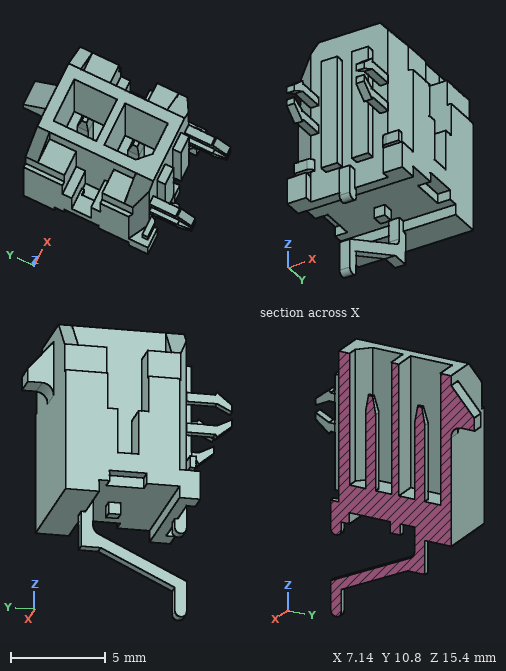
import cadquery as cq
import math


HOUSING_TOP = 9.89
HOUSING_DEPTH = 6.87
HALF_WIDTH = 3.57
SHOULDER_HALF_WIDTH = 3.34
ROOF_HALF_WIDTH = 1.91
SHOULDER_BASE = 6.73
SHOULDER_TOP = 8.27
FRONT_FACE_HALF_WIDTH = 2.39
CORNER_CUT_DEPTH = 0.65
FRONT_GUSSET_DEPTH = 1.03
REAR_GUSSET_DEPTH = 0.74
STANDOFF = 0.5

FOOT_HEIGHT = 1.59
UNDERSIDE_RECESS = 0.65
REAR_FOOT_FRONT = 5.04
NOTCH_WIDTH = 2.03
NOTCH_TOP = 1.23
NOTCH_DEPTH = 0.77

PITCH = 3.0
FRONT_CONTACT_Y = 1.94
REAR_CONTACT_Y = FRONT_CONTACT_Y + PITCH
MIDDLE_Y = FRONT_CONTACT_Y + PITCH / 2
CONTACT_SIZE = 0.65
CONTACT_TOP = 7.7
CONTACT_TIP_SIZE = 0.28
CONTACT_TIP_LENGTH = 1.0
SOCKET_SIZE = 2.53
SOCKET_FLOOR = 2.28
SOCKET_KEY = 0.68

CHANNEL_WIDTH = 2.23
CHANNEL_FLOOR = 4.75
SLOT_WIDTH = 1.14
SLOT_FLOOR = 2.28
SLOT_POCKET_DEPTH = 0.46
POCKET_HALF_WIDTH = 2.34
POCKET_TONGUE_HALF_WIDTH = 2.65
POCKET_TONGUE_WIDTH = 0.85

RIB_WIDTH = 1.0
RIB_CENTRE_X = 0.95
RIB_BASE = 1.57

LATCH_WIDTH = 1.43
LATCH_REAR = 8.27
LATCH_RAMP_TOP = 9.32
LATCH_RAMP_BASE = 7.73
LATCH_UNDERSIDE = 6.96
LATCH_FILLET = 0.63

PRONG_THICKNESS = 0.5
PRONG_INNER_X = ROOF_HALF_WIDTH
PRONG_TIP_Y = -2.5
PRONG_BEND_Y = -1.66
PRONG_BARB_START_Y = -1.57
PRONG_MIDDLE_Z = 5.3
PRONG_INNER_GAP = 0.62
PRONG_OUTER_GAP = 1.12
PRONG_BARB_GAP = 1.28
PRONG_TIP_INNER_GAP = 0.2
PRONG_TIP_OUTER_GAP = 0.6

TAB_INNER_X = 2.14
TAB_OUTER_X = 3.25
TAB_BASE = 1.88
TAB_HEIGHT = 0.65
TAB_PROJECTION = 0.32
TAB_ROUND = 0.31

OVERALL_HEIGHT = 15.4
TAIL_END = HOUSING_TOP - OVERALL_HEIGHT
TAIL_ROUND = 0.3
FRONT_TAIL_TOP = 1.17
FRONT_TAIL_END = -0.8
BEND_BASE = -1.97
BEND_Y = 4.2
BEND_RADIUS = 0.59
SLOPE_LOWER_END_Z = -3.9
SLOPE_UPPER_END_Z = -3.48
TAIL_TIP_REAR = CONTACT_SIZE - STANDOFF
SLOPE = (BEND_BASE - SLOPE_LOWER_END_Z) / (BEND_Y - TAIL_TIP_REAR)


def block(x_range, y_range, z_range):
    """Box between the given limits on each axis."""
    size = [high - low for low, high in (x_range, y_range, z_range)]
    corner = (x_range[0], y_range[0], z_range[0])
    return cq.Workplane("XY").box(*size, centered=False).translate(corner)


def around(centre, width):
    """Limits of a width placed evenly about a centre."""
    return centre - width / 2, centre + width / 2


def side_profile(points, x_range):
    """Prism along X from (y, z) points."""
    plane = cq.Workplane("YZ", origin=(x_range[0], 0, 0))
    return plane.polyline(points).close().extrude(x_range[1] - x_range[0])


def both_sides(shape):
    """The shape together with its mirror image in X."""
    return shape.union(shape.mirror("YZ"))


def make_shell():
    outline = [
        (HALF_WIDTH, 0),
        (HALF_WIDTH, SHOULDER_BASE),
        (SHOULDER_HALF_WIDTH, SHOULDER_BASE),
        (SHOULDER_HALF_WIDTH, SHOULDER_TOP),
        (ROOF_HALF_WIDTH, HOUSING_TOP),
    ]
    mirrored = [(-x, z) for x, z in reversed(outline)]
    shell = cq.Workplane("XZ").polyline(outline + mirrored).close().extrude(-HOUSING_DEPTH)

    corner = [(FRONT_FACE_HALF_WIDTH, 0), (HALF_WIDTH, 0), (HALF_WIDTH, CORNER_CUT_DEPTH)]
    corner_cut = cq.Workplane("XY").polyline(corner).close().extrude(HOUSING_TOP)
    foot = block(
        (FRONT_FACE_HALF_WIDTH, HALF_WIDTH), (-STANDOFF, CORNER_CUT_DEPTH), (0, FOOT_HEIGHT)
    )
    return shell.cut(both_sides(corner_cut)).union(both_sides(foot))


def make_side_cut():
    """Openings between the corner gussets and the stepped channel below them, on both sides."""
    side = (ROOF_HALF_WIDTH, HALF_WIDTH)
    between_gussets = block(
        side, (FRONT_GUSSET_DEPTH, HOUSING_DEPTH - REAR_GUSSET_DEPTH), (SHOULDER_TOP, HOUSING_TOP)
    )
    channel = block(side, around(MIDDLE_Y, CHANNEL_WIDTH), (CHANNEL_FLOOR, HOUSING_TOP))
    slot = block(side, around(MIDDLE_Y, SLOT_WIDTH), (SLOT_FLOOR, HOUSING_TOP))

    pocket_height = (SLOT_FLOOR - SLOT_POCKET_DEPTH, SLOT_FLOOR)
    pocket = block(
        (ROOF_HALF_WIDTH, POCKET_HALF_WIDTH), around(MIDDLE_Y, SLOT_WIDTH), pocket_height
    )
    tongue = block(
        (ROOF_HALF_WIDTH, POCKET_TONGUE_HALF_WIDTH),
        around(MIDDLE_Y, POCKET_TONGUE_WIDTH),
        pocket_height,
    )
    notch = block(
        (HALF_WIDTH - NOTCH_DEPTH, HALF_WIDTH), around(MIDDLE_Y, NOTCH_WIDTH), (0, NOTCH_TOP)
    )
    one_side = between_gussets.union(channel).union(slot).union(pocket).union(tongue).union(notch)
    return both_sides(one_side)


def make_underside_cut():
    return block(
        (-HALF_WIDTH, HALF_WIDTH), (CORNER_CUT_DEPTH, REAR_FOOT_FRONT), (0, UNDERSIDE_RECESS)
    )


def make_socket(centre_y):
    return block(around(0, SOCKET_SIZE), around(centre_y, SOCKET_SIZE), (SOCKET_FLOOR, HOUSING_TOP))


def make_keyed_socket():
    socket = make_socket(FRONT_CONTACT_Y)
    return socket.edges("|Z and <X and <Y").chamfer(SOCKET_KEY)


def make_contact(centre_y):
    shaft_top = CONTACT_TOP - CONTACT_TIP_LENGTH
    square = around(centre_y, CONTACT_SIZE)
    shaft = block(around(0, CONTACT_SIZE), square, (UNDERSIDE_RECESS, shaft_top))
    tip = (
        cq.Workplane("XY", origin=(0, centre_y, shaft_top))
        .rect(CONTACT_SIZE, CONTACT_SIZE)
        .workplane(offset=CONTACT_TIP_LENGTH)
        .rect(CONTACT_TIP_SIZE, CONTACT_TIP_SIZE)
        .loft(ruled=True)
    )
    return shaft.union(tip)


def make_front_rib():
    return block(around(RIB_CENTRE_X, RIB_WIDTH), (-STANDOFF, 0), (RIB_BASE, SHOULDER_TOP))


def make_latch():
    left, right = around(0, LATCH_WIDTH)
    fillet_reach = LATCH_FILLET * math.sqrt(0.5)
    fillet_y = HOUSING_DEPTH + LATCH_FILLET
    fillet_z = LATCH_UNDERSIDE - LATCH_FILLET
    return (
        cq.Workplane("YZ", origin=(left, 0, 0))
        .moveTo(HOUSING_DEPTH, LATCH_RAMP_TOP)
        .lineTo(LATCH_REAR, LATCH_RAMP_BASE)
        .lineTo(LATCH_REAR, LATCH_UNDERSIDE)
        .lineTo(fillet_y, LATCH_UNDERSIDE)
        .threePointArc(
            (fillet_y - fillet_reach, fillet_z + fillet_reach), (HOUSING_DEPTH, fillet_z)
        )
        .close()
        .extrude(right - left)
    )


def make_prong(direction):
    """Upper (direction 1) or lower (direction -1) prong of a board lock."""
    half_outline = [
        (0, PRONG_INNER_GAP),
        (0, PRONG_OUTER_GAP),
        (PRONG_BARB_START_Y, PRONG_OUTER_GAP),
        (PRONG_BEND_Y, PRONG_BARB_GAP),
        (PRONG_TIP_Y, PRONG_TIP_OUTER_GAP),
        (PRONG_TIP_Y, PRONG_TIP_INNER_GAP),
        (PRONG_BEND_Y, PRONG_INNER_GAP),
    ]
    points = [(y, PRONG_MIDDLE_Z + direction * gap) for y, gap in half_outline]
    return side_profile(points, (PRONG_INNER_X, PRONG_INNER_X + PRONG_THICKNESS))


def make_solder_tab():
    tab = block(
        (TAB_INNER_X, TAB_OUTER_X), (-TAB_PROJECTION, 0), (TAB_BASE, TAB_BASE + TAB_HEIGHT)
    )
    return tab.edges("|Z and <X and <Y").fillet(TAB_ROUND)


def make_front_tail():
    tail = block(
        around(0, CONTACT_SIZE),
        (-STANDOFF, TAIL_TIP_REAR),
        (FRONT_TAIL_END, FRONT_TAIL_TOP),
    )
    return tail.edges("|X and <Z").fillet(TAIL_ROUND)


def make_rear_tail():
    front_y, rear_y = around(REAR_CONTACT_Y, CONTACT_SIZE)
    bend_top = SLOPE_UPPER_END_Z + (front_y + STANDOFF) * SLOPE
    points = [
        (rear_y, UNDERSIDE_RECESS),
        (rear_y, BEND_BASE),
        (BEND_Y, BEND_BASE),
        (TAIL_TIP_REAR, SLOPE_LOWER_END_Z),
        (TAIL_TIP_REAR, TAIL_END),
        (-STANDOFF, TAIL_END),
        (-STANDOFF, SLOPE_UPPER_END_Z),
        (front_y, bend_top),
        (front_y, UNDERSIDE_RECESS),
    ]
    tail = side_profile(points, around(0, CONTACT_SIZE))
    inside_bend = cq.selectors.NearestToPointSelector((0, front_y, bend_top))
    return tail.edges("|X and <Z").fillet(TAIL_ROUND).edges(inside_bend).fillet(BEND_RADIUS)


def make_centre_peg():
    return block(around(0, CONTACT_SIZE), around(MIDDLE_Y, CONTACT_SIZE), (0, UNDERSIDE_RECESS))


housing = make_shell().cut(make_side_cut()).cut(make_underside_cut())
housing = housing.cut(make_keyed_socket()).cut(make_socket(REAR_CONTACT_Y))
housing = housing.union(make_latch()).union(make_centre_peg())
for paired_feature in (make_front_rib(), make_prong(1), make_prong(-1), make_solder_tab()):
    housing = housing.union(both_sides(paired_feature))

for contact_y in (FRONT_CONTACT_Y, REAR_CONTACT_Y):
    housing = housing.union(make_contact(contact_y))

result = housing.union(make_front_tail()).union(make_rear_tail())